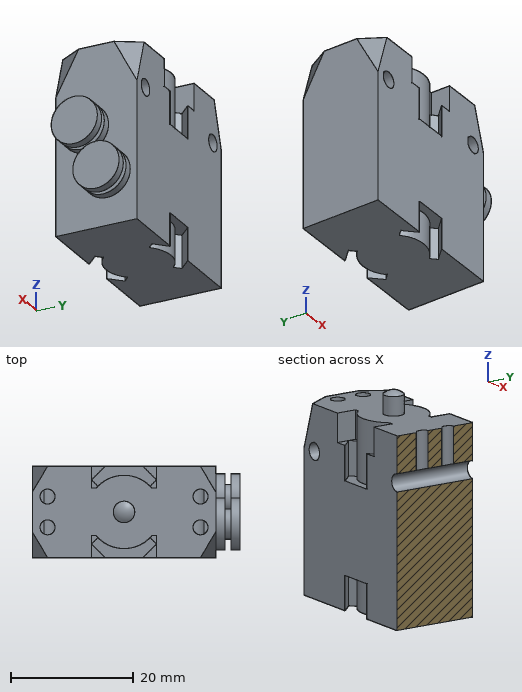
import cadquery as cq
import math

BODY_LENGTH = 30.0
BODY_WIDTH = 15.0
BODY_HEIGHT = 33.0

CORNER_CUT_X = 2.5
CORNER_CUT_Y = 4.25
CORNER_CUT_Z = 8.0

CORE_RADIUS = 6.0
POCKET_WIDTH = 10.62
POCKET_DEPTH = 5.0
POCKET_BACK_Y = 3.9
SLOT_WIDTH = 6.33
SLOT_LIP = 0.1
UPPER_SLOT_DEPTH = 11.0
LOWER_SLOT_HEIGHT = 6.0

CROSS_HOLE_DIAMETER = 3.0
CROSS_HOLE_X = 12.0
CROSS_HOLE_DEPTH_BELOW_TOP = 8.0
TOP_HOLE_DIAMETER = 2.45
TOP_HOLE_X = 12.5
TOP_HOLE_Y = 2.5
TOP_HOLE_DEPTH = 7.0

PIN_DIAMETER = 3.5
PIN_HEIGHT = 4.0
PIN_DOME_HEIGHT = 0.7

PORT_DIAMETER = 8.5
PORT_GROOVE_DIAMETER = 5.0
PORT_LENGTH = 4.0
PORT_FLANGE_THICKNESS = 1.5
PORT_OFFSET_Y = 2.0
UPPER_PORT_Z = 18.25
PORT_SPACING_Z = 8.95

HALF_LENGTH = BODY_LENGTH / 2
HALF_WIDTH = BODY_WIDTH / 2


def corner_cutter(side_x, side_y):
    """Tetrahedron that slopes off one upper corner of the block."""
    corner = cq.Vector(side_x * HALF_LENGTH, side_y * HALF_WIDTH, BODY_HEIGHT)
    along_x = corner - cq.Vector(side_x * CORNER_CUT_X, 0, 0)
    along_y = corner - cq.Vector(0, side_y * CORNER_CUT_Y, 0)
    below = corner - cq.Vector(0, 0, CORNER_CUT_Z)
    triangles = [
        [corner, along_x, along_y],
        [corner, along_x, below],
        [along_x, along_y, below],
        [along_y, corner, below],
    ]
    faces = [cq.Face.makeFromWires(cq.Wire.makePolygon(points, close=True)) for points in triangles]
    return cq.Workplane(cq.Solid.makeSolid(cq.Shell.makeShell(faces)))


def slot_prism(bottom, top):
    """Slot with a thin straight lip that flares at 45 degrees behind it, then narrows toward the core."""
    half_mouth = SLOT_WIDTH / 2
    half_widest = POCKET_WIDTH / 2
    flare_y = HALF_WIDTH - SLOT_LIP
    widest_y = flare_y - (half_widest - half_mouth)
    outline = [
        (half_mouth, HALF_WIDTH),
        (half_mouth, flare_y),
        (half_widest, widest_y),
        (0, widest_y - half_widest),
        (-half_widest, widest_y),
        (-half_mouth, flare_y),
        (-half_mouth, HALF_WIDTH),
    ]
    return cq.Workplane().workplane(offset=bottom).polyline(outline).close().extrude(top - bottom)


def face_recesses():
    """Recesses of the +Y face: upper pocket with its slot, and the lower slot."""
    pocket_thickness = HALF_WIDTH - POCKET_BACK_Y
    pocket = (
        cq.Workplane()
        .box(POCKET_WIDTH, pocket_thickness, POCKET_DEPTH, centered=(True, False, False))
        .translate((0, POCKET_BACK_Y, BODY_HEIGHT - POCKET_DEPTH))
    )
    upper_slot = slot_prism(BODY_HEIGHT - UPPER_SLOT_DEPTH, BODY_HEIGHT - POCKET_DEPTH)
    lower_slot = slot_prism(0, LOWER_SLOT_HEIGHT)
    core = cq.Workplane().circle(CORE_RADIUS).extrude(BODY_HEIGHT)
    return pocket.union(upper_slot).union(lower_slot).cut(core)


def plunger():
    """Pin standing on the top face, ending in a shallow spherical dome."""
    radius = PIN_DIAMETER / 2
    dome_radius = (radius**2 + PIN_DOME_HEIGHT**2) / (2 * PIN_DOME_HEIGHT)
    shoulder_z = BODY_HEIGHT + PIN_HEIGHT - PIN_DOME_HEIGHT
    tip_z = BODY_HEIGHT + PIN_HEIGHT
    half_angle = math.asin(radius / dome_radius) / 2
    arc_middle = (
        dome_radius * math.sin(half_angle),
        tip_z - dome_radius * (1 - math.cos(half_angle)),
    )
    profile = (
        cq.Workplane("XZ")
        .moveTo(0, BODY_HEIGHT)
        .lineTo(radius, BODY_HEIGHT)
        .lineTo(radius, shoulder_z)
        .threePointArc(arc_middle, (0, tip_z))
        .close()
    )
    return profile.revolve(360, (0, 0, 0), (0, 1, 0))


def port(y, z):
    """Fitting along +X: two flanges joined by a narrower neck."""
    base = cq.Workplane("YZ", origin=(HALF_LENGTH, y, z))
    neck = base.circle(PORT_GROOVE_DIAMETER / 2).extrude(PORT_LENGTH)
    inner_flange = base.circle(PORT_DIAMETER / 2).extrude(PORT_FLANGE_THICKNESS)
    outer_flange = inner_flange.translate((PORT_LENGTH - PORT_FLANGE_THICKNESS, 0, 0))
    return neck.union(inner_flange).union(outer_flange)


body = cq.Workplane().box(BODY_LENGTH, BODY_WIDTH, BODY_HEIGHT, centered=(True, True, False))

for side_x in (-1, 1):
    for side_y in (-1, 1):
        body = body.cut(corner_cutter(side_x, side_y))

recesses = face_recesses()
body = body.cut(recesses).cut(recesses.mirror("XZ"))

cross_holes = (
    cq.Workplane("XZ", origin=(0, 0, BODY_HEIGHT - CROSS_HOLE_DEPTH_BELOW_TOP))
    .pushPoints([(-CROSS_HOLE_X, 0), (CROSS_HOLE_X, 0)])
    .circle(CROSS_HOLE_DIAMETER / 2)
    .extrude(HALF_WIDTH, both=True)
)
top_holes = (
    cq.Workplane(origin=(0, 0, BODY_HEIGHT))
    .rect(2 * TOP_HOLE_X, 2 * TOP_HOLE_Y, forConstruction=True)
    .vertices()
    .circle(TOP_HOLE_DIAMETER / 2)
    .extrude(-TOP_HOLE_DEPTH)
)
body = body.cut(cross_holes).cut(top_holes)

upper_port = port(-PORT_OFFSET_Y, UPPER_PORT_Z)
lower_port = port(PORT_OFFSET_Y, UPPER_PORT_Z - PORT_SPACING_Z)

result = body.union(plunger()).union(upper_port).union(lower_port)